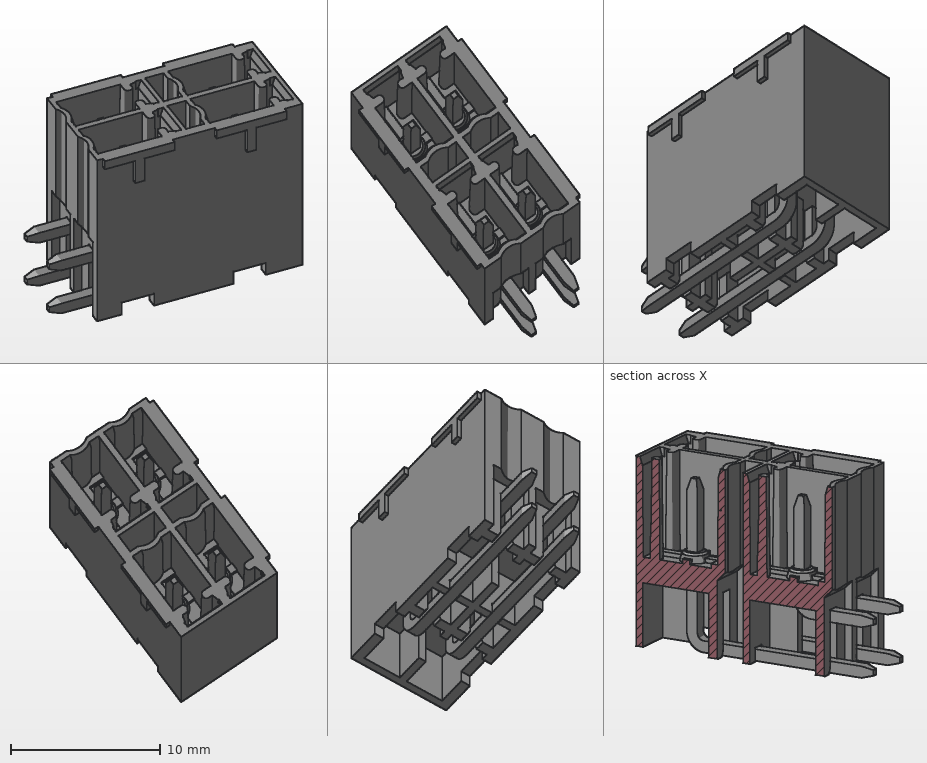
import cadquery as cq
import math


height = 13.28
body_width = 7.88
column_pitch = 3.5
row_pitch = 8.28
cell_depth = 6.92
column_count = 2
row_count = 2
body_depth = cell_depth + (row_count - 1) * row_pitch

cavity_floor = 6.6
cavity_top_width = 3.05
cavity_floor_width = 2.93
wall_draft = (cavity_top_width - cavity_floor_width) / 2
front_wall = 0.38
front_bevel = 0.18
rear_wall = 0.33
rear_bevel = 0.2
bevel_height = 0.6
cavity_rear = cell_depth - rear_wall - rear_bevel
bump_height = 0.26
bump_half_width = 0.79

finger_front = 5.1
finger_width = 0.61
finger_gap = 1.3
finger_corner = 0.28
dovetail_front_width = 2.44
dovetail_rear_width = 2.82

pad_depth = 0.3
pad_front = 1.1
pad_ramp_length = 0.23
pad_ramp_drop = 0.02
rib_width = 0.6
boss_base_diameter = 2.08
boss_diameter = 1.78
boss_top_diameter = 1.45
boss_height = 0.35
boss_chamfer = 0.15

pin_size = 0.82
pin_y = 3.02
pin_top = 12.0
pin_front = -2.6
pin_tip_length = 0.8
pin_tip_size = 0.4
pin_bend_radius = 0.5
pin_exit_heights = [4.0, 0.46]

scallop_half_width = 0.82
scallop_depth = 0.27
recess_width = 2.93
recess_depth = 0.6
recess_height = 6.1
slot_width = 0.86
slot_height = 4.47
slot_flare_width = 1.26
slot_flare_height = 0.45
inner_front_wall = 0.72

foot_gap_height = 0.98
foot_gap_width = 2.39

ledge_projection = 0.31
ledge_length = 5.18
ledge_height = 0.67
ledge_stem_width = 0.68
ledge_stem_drop = 2.5

column_xs = [(i - (column_count - 1) / 2) * column_pitch for i in range(column_count)]
row_ys = [i * row_pitch for i in range(row_count)]


def centred_block(width, y0, y1, z0, z1):
    """Box centred on x = 0."""
    plane = cq.Workplane("XY", origin=(-width / 2, y0, z0))
    return plane.box(width, y1 - y0, z1 - z0, centered=False)


def at_cell(shape, x, y):
    """Move a cell feature to its column and row."""
    return shape.translate((x, y, 0))


def cavity_outline(z, inset, bevel_inset):
    """Cavity section at height z, drawn inwards by the draft and by the front bevel."""
    half = cavity_top_width / 2 - inset
    front = front_wall + bevel_inset + inset
    step = finger_front - inset
    finger_rear = finger_front + finger_width + inset
    tip = finger_gap / 2 - inset
    neck = dovetail_front_width / 2 - inset
    rear_half = dovetail_rear_width / 2 - inset
    rear = cavity_rear - inset
    cut = finger_corner * (1 - math.sqrt(0.5))
    shoulder = tip + finger_corner
    front_tangent = step + finger_corner
    rear_tangent = finger_rear - finger_corner
    return (
        cq.Workplane("XY", origin=(0, 0, z))
        .moveTo(-half, front)
        .lineTo(-bump_half_width, front)
        .threePointArc((0, front + bump_height), (bump_half_width, front))
        .lineTo(half, front)
        .lineTo(half, step)
        .lineTo(shoulder, step)
        .threePointArc((tip + cut, step + cut), (tip, front_tangent))
        .lineTo(tip, rear_tangent)
        .threePointArc((tip + cut, finger_rear - cut), (shoulder, finger_rear))
        .lineTo(neck, finger_rear)
        .lineTo(rear_half, rear)
        .lineTo(-rear_half, rear)
        .lineTo(-neck, finger_rear)
        .lineTo(-shoulder, finger_rear)
        .threePointArc((-tip - cut, finger_rear - cut), (-tip, rear_tangent))
        .lineTo(-tip, front_tangent)
        .threePointArc((-tip - cut, step + cut), (-shoulder, step))
        .lineTo(-half, step)
        .close()
        .val()
    )


def make_cavity():
    """Drafted plug cavity, open at the top, with lead-in bevels on its front and rear walls."""
    bevel_draft = wall_draft * bevel_height / (height - cavity_floor)
    top = cavity_outline(height, 0, 0)
    bevel_end = cavity_outline(height - bevel_height, bevel_draft, front_bevel)
    floor = cavity_outline(cavity_floor, wall_draft, front_bevel)
    cavity = cq.Workplane(cq.Solid.makeLoft([floor, bevel_end, top], True))
    back_bevel = (
        cq.Workplane("YZ")
        .polyline([
            (cavity_rear - rear_bevel, height),
            (cavity_rear - rear_bevel, height - bevel_height),
            (cavity_rear, height - bevel_height),
            (cavity_rear + rear_bevel, height),
        ])
        .close()
        .extrude(dovetail_rear_width / 2, both=True)
    )
    return cavity.union(back_bevel)


def make_pads():
    """Cutter for four sunken floor pads between cross ribs, slightly deeper at the front."""
    pad_floor = cavity_floor - pad_depth
    lowest = pad_floor - pad_ramp_drop
    pads = (
        cq.Workplane("YZ")
        .polyline([
            (pad_front, cavity_floor),
            (pad_front, lowest),
            (pad_front + pad_ramp_length, pad_floor),
            (cavity_rear, pad_floor),
            (cavity_rear, cavity_floor),
        ])
        .close()
        .extrude(cavity_top_width / 2, both=True)
    )
    half_rib = rib_width / 2
    lengthwise = centred_block(rib_width, pad_front, cavity_rear, lowest, cavity_floor)
    crosswise = centred_block(
        cavity_top_width, pin_y - half_rib, pin_y + half_rib, lowest, cavity_floor
    )
    upper = cavity_outline(cavity_floor, wall_draft, front_bevel)
    lower = cavity_outline(lowest, wall_draft, front_bevel)
    footprint = cq.Workplane(cq.Solid.makeLoft([lower, upper], True))
    return pads.cut(lengthwise).cut(crosswise).intersect(footprint)


def make_boss():
    """Conical boss around the pin, rising from the pad floor to above the ribs."""
    return (
        cq.Workplane("XZ")
        .polyline([
            (0, -pad_depth),
            (boss_base_diameter / 2, -pad_depth),
            (boss_diameter / 2, boss_height - boss_chamfer),
            (boss_top_diameter / 2, boss_height),
            (0, boss_height),
        ])
        .close()
        .revolve(360, (0, 0), (0, 1))
        .translate((0, pin_y, cavity_floor))
    )


def make_scallop():
    """Shallow cylindrical groove down the front face."""
    return (
        cq.Workplane("XY")
        .moveTo(-scallop_half_width, 0)
        .threePointArc((0, scallop_depth), (scallop_half_width, 0))
        .close()
        .extrude(height)
    )


def make_recess():
    """Front recess with a ceiling that slopes down at 45 degrees towards its back."""
    return (
        cq.Workplane("YZ")
        .polyline([
            (0, 0),
            (recess_depth, 0),
            (recess_depth, recess_height - recess_depth),
            (0, recess_height),
        ])
        .close()
        .extrude(recess_width / 2, both=True)
    )


def make_pin_slot():
    """Slot through the back of the recess, flared at the bottom edge."""
    pocket_front = recess_depth + inner_front_wall
    slot = centred_block(slot_width, recess_depth, pocket_front, 0, slot_height)
    flare = (
        cq.Workplane("XZ", origin=(0, recess_depth, 0))
        .polyline([
            (-slot_flare_width / 2, 0),
            (slot_flare_width / 2, 0),
            (slot_width / 2, slot_flare_height),
            (-slot_width / 2, slot_flare_height),
        ])
        .close()
        .extrude(-inner_front_wall)
    )
    return slot.union(flare)


def make_pocket():
    """Hollow under the cavity that holds the pin bend."""
    return centred_block(recess_width, recess_depth + inner_front_wall, cavity_rear, 0, slot_height)


def make_foot_gap():
    """Gap under the outer walls, and the taller opening between neighbouring pockets."""
    y0 = pin_y - foot_gap_width / 2
    y1 = pin_y + foot_gap_width / 2
    gap = centred_block(body_width, y0, y1, 0, foot_gap_height)
    return gap.union(centred_block(column_pitch, y0, y1, 0, slot_height))


def make_ledges():
    """T-shaped ledges along the top of both side walls."""
    width = body_width + 2 * ledge_projection
    y0 = pin_y - ledge_length / 2
    y1 = pin_y + ledge_length / 2
    bar = centred_block(width, y0, y1, height - ledge_height, height)
    stem_y0 = pin_y - ledge_stem_width / 2
    stem_y1 = pin_y + ledge_stem_width / 2
    stem = centred_block(width, stem_y0, stem_y1, height - ledge_stem_drop, height)
    return bar.union(stem).cut(centred_block(body_width, y0, y1, 0, height))


def pin_tip(plane):
    """Tapered pin end growing along the plane normal."""
    return (
        plane.rect(pin_size, pin_size)
        .workplane(offset=pin_tip_length)
        .rect(pin_tip_size, pin_tip_size)
        .loft(ruled=True)
    )


def make_pin(exit_y, exit_z):
    """Right-angle pin in cell coordinates, leaving the housing at height exit_z."""
    half = pin_size / 2
    outer_radius = pin_bend_radius + pin_size
    bend_y = pin_y + half - outer_radius
    bend_z = exit_z - half + outer_radius
    diagonal = math.sqrt(0.5)
    shank_end = exit_y + pin_tip_length
    blade_end = pin_top - pin_tip_length
    blade = (
        cq.Workplane("YZ")
        .moveTo(shank_end, exit_z - half)
        .lineTo(bend_y, exit_z - half)
        .threePointArc(
            (bend_y + outer_radius * diagonal, bend_z - outer_radius * diagonal),
            (pin_y + half, bend_z),
        )
        .lineTo(pin_y + half, blade_end)
        .lineTo(pin_y - half, blade_end)
        .lineTo(pin_y - half, bend_z)
        .threePointArc(
            (bend_y + pin_bend_radius * diagonal, bend_z - pin_bend_radius * diagonal),
            (bend_y, exit_z + half),
        )
        .lineTo(shank_end, exit_z + half)
        .close()
        .extrude(half, both=True)
    )
    top_tip = pin_tip(cq.Workplane("XY", origin=(0, pin_y, blade_end)))
    front_tip = pin_tip(cq.Workplane("XZ", origin=(0, shank_end, exit_z)))
    return blade.union(top_tip).union(front_tip)


housing = centred_block(body_width, 0, body_depth, 0, height)

for row_y in row_ys:
    housing = housing.union(at_cell(make_ledges(), 0, row_y))
    housing = housing.cut(at_cell(make_foot_gap(), 0, row_y))

shaft = centred_block(recess_width, cell_depth, row_pitch, 0, height)
pin_passage = centred_block(slot_width, cavity_rear, cell_depth, 0, foot_gap_height)
shaft = shaft.union(pin_passage)
for row_y in row_ys[:-1]:
    for column_x in column_xs:
        housing = housing.cut(at_cell(shaft, column_x, row_y))

cell_cuts = [make_cavity(), make_pads(), make_scallop(), make_recess(), make_pin_slot(), make_pocket()]
boss = make_boss()
for row_y in row_ys:
    for column_x in column_xs:
        for cutter in cell_cuts:
            housing = housing.cut(at_cell(cutter, column_x, row_y))
        housing = housing.union(at_cell(boss, column_x, row_y))

for row_y, exit_z in zip(row_ys, pin_exit_heights):
    pin = make_pin(pin_front - row_y, exit_z)
    for column_x in column_xs:
        housing = housing.union(at_cell(pin, column_x, row_y))

result = housing